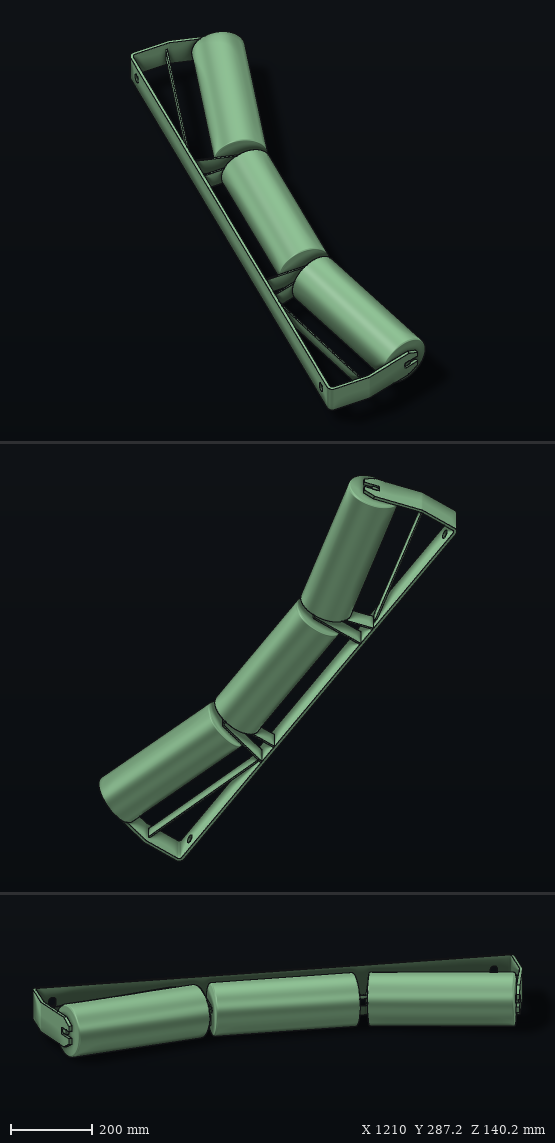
import cadquery as cq
import math

TROUGH_ANGLE = 15.0
TILT_ANGLE = 1.0

FRAME_LENGTH = 1210.0
FRAME_HEIGHT = 77.0
FRAME_THICKNESS = 8.0
FRAME_BEND_RADIUS = 15.0
WING_BEND_Y = 109.0
WING_TIP_Y = 255.0
TIP_CUT_ALONG = 27.0
TIP_CUT_ACROSS = 16.0
MOUNT_HOLE_SPACING = 1108.0
MOUNT_HOLE_WIDTH = 18.0
MOUNT_HOLE_HEIGHT = 24.0

ROLLER_RADIUS = 67.0
ROLLER_LENGTH = 360.0
ROLLER_EDGE_RADIUS = 5.0
SHAFT_DIAMETER = 19.0
SHAFT_FLATS = 13.0
SHAFT_STUB = 8.0
SLOT_WIDTH = 18.0
SLOT_CORNER_RADIUS = 4.0
SLOT_DEPTH = 73.0
SLOT_REACH = 27.0
CENTER_ROLLER_Y = 126.0
CENTER_ROLLER_Z = -6.0
SIDE_ROLLER_X = 388.0
SIDE_ROLLER_Y = 177.0

BRACKET_THICKNESS = 4.2
BRACKET_HEIGHT = 51.0
BRACKET_BEND_RADIUS = 10.0
BRACKET_TOP_Y = 152.0
BRACKET_LEG_X = 185.0
BRACKET_FOOT_X = 247.0

BRACE_THICKNESS = 4.2
BRACE_HEIGHT = 35.0
BRACE_END_X = 246.0

HALF_LENGTH = FRAME_LENGTH / 2
HALF_ROLLER = ROLLER_LENGTH / 2
LEAN = math.tan(math.radians(TROUGH_ANGLE))
LEAN_COS = math.cos(math.radians(TROUGH_ANGLE))
WING_TIP_X = HALF_LENGTH - (WING_TIP_Y - WING_BEND_Y) * LEAN
SIDE_ROLLER_Z = CENTER_ROLLER_Z + HALF_ROLLER * math.sin(math.radians(TILT_ANGLE))


def place_center(body):
    """Move a body from the origin onto the center roller axis."""
    return body.translate((0, CENTER_ROLLER_Y, CENTER_ROLLER_Z))


def place_side(body):
    """Move a body from the origin onto the leaning axis of the +X side roller."""
    tilted = body.rotate((0, 0, 0), (0, 1, 0), -TILT_ANGLE)
    leaning = tilted.rotate((0, 0, 0), (0, 0, 1), TROUGH_ANGLE)
    return leaning.translate((SIDE_ROLLER_X, SIDE_ROLLER_Y, SIDE_ROLLER_Z))


def bent_strip(outer, thickness, height, bend_radius):
    """Flat strip along a path of outer-face points that turns left; its thickness lies on the left."""
    vectors = [cq.Vector(x, y) for x, y in outer]
    runs = [(b - a).normalized() for a, b in zip(vectors, vectors[1:])]
    normals = [cq.Vector(-run.y, run.x) for run in runs]
    inner = []
    for point, before, after in zip(vectors, normals[:1] + normals, normals + normals[-1:]):
        miter = (before + after) * (thickness / (1 + before.dot(after)))
        inner.append((point + miter).toTuple()[:2])
    outline = outer + inner[::-1]
    strip = cq.Workplane("XY").polyline(outline).close().extrude(height / 2, both=True)
    for points, radius in ((outer, bend_radius), (inner, bend_radius - thickness)):
        for x, y in points[1:-1]:
            strip = strip.edges(cq.selectors.NearestToPointSelector((x, y, 0))).fillet(radius)
    return strip


def make_slot(side):
    """Cutter for the shaft slot past the +X (side = 1) or -X (side = -1) end of a roller."""
    slot = cq.Workplane("XY").box(SLOT_REACH, SLOT_DEPTH, SLOT_WIDTH)
    slot = slot.edges("|X and <Y").fillet(SLOT_CORNER_RADIUS)
    center_x = side * (HALF_ROLLER + SLOT_REACH / 2)
    return slot.translate((center_x, (SLOT_DEPTH - SHAFT_DIAMETER) / 2, 0))


def make_roller():
    """Roller along X, centered on the origin."""
    shell = cq.Workplane("YZ", origin=(-HALF_ROLLER, 0, 0)).circle(ROLLER_RADIUS).extrude(ROLLER_LENGTH)
    shell = shell.edges("%CIRCLE").fillet(ROLLER_EDGE_RADIUS)
    shaft_length = ROLLER_LENGTH + 2 * SHAFT_STUB
    shaft = cq.Workplane("YZ", origin=(-shaft_length / 2, 0, 0)).circle(SHAFT_DIAMETER / 2).extrude(shaft_length)
    flats = cq.Workplane("XY").box(shaft_length, SHAFT_DIAMETER, SHAFT_FLATS)
    return shell.union(shaft.intersect(flats))


def make_tip_cuts():
    """Cutters that bevel the upper and lower corners of both wing tips."""
    edge_z = FRAME_HEIGHT / 2
    corner = [
        (WING_TIP_Y - TIP_CUT_ALONG, edge_z),
        (WING_TIP_Y, edge_z - TIP_CUT_ACROSS),
        (WING_TIP_Y, edge_z),
    ]
    upper = cq.Workplane("YZ").polyline(corner).close().extrude(HALF_LENGTH, both=True)
    return upper.union(upper.mirror("XY"))


def make_frame():
    right_side = [(HALF_LENGTH, 0), (HALF_LENGTH, WING_BEND_Y), (WING_TIP_X, WING_TIP_Y)]
    left_side = [(-x, y) for x, y in reversed(right_side)]
    frame = bent_strip(left_side + right_side, FRAME_THICKNESS, FRAME_HEIGHT, FRAME_BEND_RADIUS)
    slot = place_side(make_slot(1))
    frame = frame.cut(make_tip_cuts()).cut(slot).cut(slot.mirror("YZ"))
    holes = (
        cq.Workplane("XZ")
        .rarray(MOUNT_HOLE_SPACING, 12, 2, 1)
        .slot2D(MOUNT_HOLE_HEIGHT, MOUNT_HOLE_WIDTH, 90)
        .extrude(-FRAME_THICKNESS)
    )
    return frame.cut(holes)


def make_bracket():
    """Bracket between the center roller and the +X side roller, level with the frame's lower edge."""
    fold_x = BRACKET_FOOT_X - BRACKET_TOP_Y * LEAN
    path = [
        (BRACKET_FOOT_X, 0),
        (fold_x, BRACKET_TOP_Y),
        (BRACKET_LEG_X, BRACKET_TOP_Y),
        (BRACKET_LEG_X, 0),
    ]
    strip = bent_strip(path, BRACKET_THICKNESS, BRACKET_HEIGHT, BRACKET_BEND_RADIUS)
    strip = strip.translate((0, 0, (BRACKET_HEIGHT - FRAME_HEIGHT) / 2))
    base_bar = cq.Workplane("XY").box(FRAME_LENGTH, 2 * FRAME_THICKNESS, FRAME_HEIGHT)
    return strip.cut(base_bar).cut(place_center(make_slot(1))).cut(place_side(make_slot(-1)))


def make_brace():
    """Brace on the +X side, cut flush with the base bar and the frame side."""
    side_x = HALF_LENGTH - FRAME_THICKNESS
    side_y = FRAME_THICKNESS + (side_x - BRACE_END_X) * LEAN
    depth = BRACE_THICKNESS / LEAN_COS
    outline = [
        (BRACE_END_X, FRAME_THICKNESS),
        (BRACE_END_X + depth / LEAN, FRAME_THICKNESS),
        (side_x, side_y - depth),
        (side_x, side_y),
    ]
    return cq.Workplane("XY").polyline(outline).close().extrude(BRACE_HEIGHT / 2, both=True)


frame = make_frame()
center_roller = place_center(make_roller())
bodies = [frame.val(), center_roller.val()]
for paired_body in (place_side(make_roller()), make_bracket(), make_brace()):
    bodies.append(paired_body.val())
    bodies.append(paired_body.mirror("YZ").val())

result = cq.Compound.makeCompound(bodies)